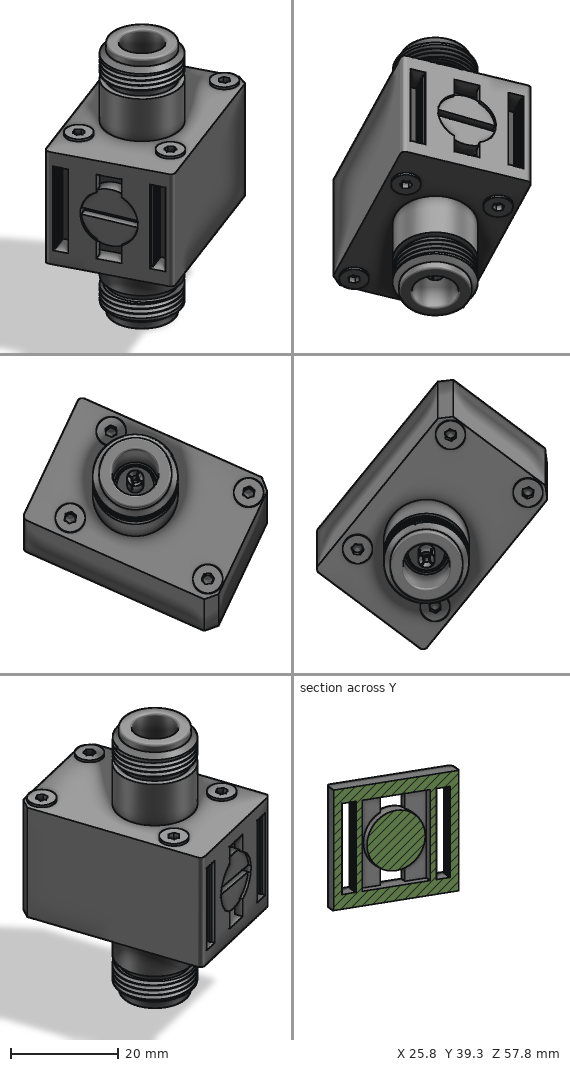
import cadquery as cq
import math


WIDTH = 25.8
LENGTH = 39.3
FRONT_Y = -17.3
HOUSING_TOP = 11.95
PLATE_THICKNESS = 3.0
BACK_CHAMFER = 2.0
FRONT_FILLET = 1.0
BODY_TOP = HOUSING_TOP - PLATE_THICKNESS

LIP_THICKNESS = 1.7
CHANNEL_WIDTH = 5.0
CHAMBER_WIDTH = 13.9
CHAMBER_DEPTH = 3.45
PLUG_HOLE_DIAMETER = 11.45
PLUG_DIAMETER = 12.0
PLUG_RECESS = 0.6
DRIVER_SLOT_WIDTH = 1.45
DRIVER_SLOT_DEPTH = 1.75
DRIVER_SLOT_TILT = 3.2

GROOVE_INNER_X = 8.15
GROOVE_OUTER_X = 11.2
GROOVE_MOUTH_DEPTH = 0.7
TOOTH_PITCH = 0.5
TOOTH_HEIGHT = TOOTH_PITCH / 2
TOOTH_COUNT = 8

SCREW_X = 9.15
SCREW_FRONT_Y = -SCREW_X
SCREW_BACK_Y = 19.0
SCREW_HEAD_DIAMETER = 5.55
SCREW_HEAD_HEIGHT = 0.5
HEX_ACROSS_FLATS = 2.0
HEX_CORNERS = HEX_ACROSS_FLATS / math.cos(math.pi / 6)
HEX_DEPTH = 1.45
HEX_CONE_DEPTH = 0.45
SCREWS = [
    (-1, SCREW_FRONT_Y, 30),
    (1, SCREW_FRONT_Y, 15),
    (-1, SCREW_BACK_Y, 15),
    (1, SCREW_BACK_Y, 0),
]

CONNECTOR_TOP = 28.9
CONE_TOP = 27.3
THREAD_TOP = 26.35
THREAD_BOTTOM = 22.5
SHOULDER_TOP = 21.0
BARREL_RADIUS = 15.9 / 2
NECK_RADIUS = 13.5 / 2
RIM_FILLET = 0.45

THREAD_PITCH = 1.05
THREAD_DEPTH = 0.7
GROOVE_WIDTH = 0.85
HELIX_START = 21.5
HELIX_TURNS = 4.4

BORE_RADIUS = 4.35
BORE_FLOOR = 19.65
GAP_RADIUS = 7.8 / 2
INSULATOR_RADIUS = 6.95 / 2
GAP_DEPTH = 1.15
CONTACT_RADIUS = 3.1 / 2
CONTACT_TOP = 24.5
FUNNEL_RADIUS = 3.0 / 2
CONTACT_HOLE_RADIUS = 0.7
CONTACT_HOLE_DEPTH = 4.05
CONTACT_SLOT_WIDTH = 0.25
CONTACT_SLOT_DEPTH = 2.9


def cylinder(radius, bottom, top):
    return cq.Workplane("XY").workplane(offset=bottom).circle(radius).extrude(top - bottom)


def front_box(width, depth):
    """Box between the end plates, going back from the front face."""
    return cq.Workplane("XY").box(width, depth, 2 * BODY_TOP).translate((0, FRONT_Y + depth / 2, 0))


def front_disc(diameter, start_depth, end_depth):
    """Disc across the Y axis between two depths behind the front face."""
    disc = cq.Workplane("XZ", origin=(0, FRONT_Y + start_depth, 0)).circle(diameter / 2)
    return disc.extrude(start_depth - end_depth)


def housing():
    block = cq.Workplane("XY").box(WIDTH, LENGTH, 2 * HOUSING_TOP)
    block = block.translate((0, FRONT_Y + LENGTH / 2, 0))
    block = block.edges("|Z and >Y").chamfer(BACK_CHAMFER)
    return block.edges("|Z and <Y").fillet(FRONT_FILLET)


def plug_cavity():
    """T-shaped channel between the end plates with a round hole through its lips."""
    lips = front_box(CHAMBER_WIDTH, LIP_THICKNESS)
    chamber = front_box(CHAMBER_WIDTH, CHAMBER_DEPTH).cut(lips)
    channel = front_box(CHANNEL_WIDTH, LIP_THICKNESS)
    return chamber.union(channel).union(front_disc(PLUG_HOLE_DIAMETER, 0, LIP_THICKNESS))


def plug():
    """Disc behind the front face, standing on the chamber wall, with a screwdriver slot."""
    disc = front_disc(PLUG_DIAMETER, PLUG_RECESS, CHAMBER_DEPTH)
    slot = cq.Workplane("XY").box(PLUG_HOLE_DIAMETER, 2 * DRIVER_SLOT_DEPTH, DRIVER_SLOT_WIDTH)
    slot = slot.rotate((0, 0, 0), (0, 1, 0), DRIVER_SLOT_TILT)
    return disc, slot.translate((0, FRONT_Y + PLUG_RECESS, 0))


def serrated_groove():
    """Groove on the +X side, whose two walls carry mirrored rows of teeth."""
    inner = [(GROOVE_INNER_X, FRONT_Y)]
    for tooth in range(TOOTH_COUNT):
        root_y = FRONT_Y + GROOVE_MOUTH_DEPTH + tooth * TOOTH_PITCH
        inner.append((GROOVE_INNER_X, root_y))
        inner.append((GROOVE_INNER_X + TOOTH_HEIGHT, root_y + TOOTH_PITCH / 2))
    inner.append((GROOVE_INNER_X, FRONT_Y + GROOVE_MOUTH_DEPTH + TOOTH_COUNT * TOOTH_PITCH))
    outer = [(GROOVE_INNER_X + GROOVE_OUTER_X - x, y) for x, y in reversed(inner)]
    outline = cq.Workplane("XY").workplane(offset=-BODY_TOP).polyline(inner + outer).close()
    return outline.extrude(2 * BODY_TOP)


def add_screws(body):
    """Low round screw heads with cone-bottomed hexagon sockets on the top plate."""
    head_top = HOUSING_TOP + SCREW_HEAD_HEIGHT
    socket_floor = head_top - HEX_DEPTH
    for side, y, turn in SCREWS:
        place = (side * SCREW_X, y, 0)
        head = cylinder(SCREW_HEAD_DIAMETER / 2, HOUSING_TOP, head_top)
        socket = cq.Workplane("XY").workplane(offset=socket_floor).polygon(6, HEX_CORNERS)
        socket = socket.extrude(HEX_DEPTH).rotate((0, 0, 0), (0, 0, 1), turn)
        cone = cq.Solid.makeCone(
            0, HEX_ACROSS_FLATS / 2, HEX_CONE_DEPTH, pnt=(0, 0, socket_floor - HEX_CONE_DEPTH)
        )
        body = body.union(head.translate(place)).cut(socket.union(cone).translate(place))
    return body


def thread_groove():
    """Right-handed V groove wound around the barrel."""
    helix = cq.Wire.makeHelix(THREAD_PITCH, HELIX_TURNS * THREAD_PITCH, BARREL_RADIUS)
    margin = 0.05
    root_x = BARREL_RADIUS - THREAD_DEPTH
    mouth_x = BARREL_RADIUS + margin
    half_mouth = GROOVE_WIDTH / 2 * (THREAD_DEPTH + margin) / THREAD_DEPTH
    corners = [(root_x, 0), (mouth_x, half_mouth), (mouth_x, -half_mouth)]
    profile = cq.Workplane("XZ").polyline(corners).close()
    return profile.sweep(cq.Workplane(helix), isFrenet=True).translate((0, 0, HELIX_START))


def connector_shell():
    """Revolved outside of the upper connector, threaded below its lead-in cone."""
    outline = [
        (0, HOUSING_TOP),
        (BARREL_RADIUS, HOUSING_TOP),
        (BARREL_RADIUS, SHOULDER_TOP),
        (NECK_RADIUS, SHOULDER_TOP),
        (NECK_RADIUS, THREAD_BOTTOM),
        (BARREL_RADIUS, THREAD_BOTTOM),
        (BARREL_RADIUS, THREAD_TOP),
        (NECK_RADIUS, CONE_TOP),
        (NECK_RADIUS, CONNECTOR_TOP),
        (0, CONNECTOR_TOP),
    ]
    shell = cq.Workplane("XZ").polyline(outline).close().revolve(360, (0, 0, 0), (0, 1, 0))
    shell = shell.cut(cylinder(BORE_RADIUS, BORE_FLOOR, CONNECTOR_TOP))
    shell = shell.faces(">Z").edges().fillet(RIM_FILLET)
    return shell.cut(thread_groove())


def insulator_gap():
    """Ring-shaped gap around the insulator in the bore floor."""
    gap = cylinder(GAP_RADIUS, BORE_FLOOR - GAP_DEPTH, BORE_FLOOR)
    return gap.cut(cylinder(INSULATOR_RADIUS, BORE_FLOOR - GAP_DEPTH, BORE_FLOOR))


def centre_contact():
    """Socket contact with a funnel mouth and crossed slots."""
    contact = cylinder(CONTACT_RADIUS, BORE_FLOOR, CONTACT_TOP)
    funnel_depth = FUNNEL_RADIUS - CONTACT_HOLE_RADIUS
    funnel = cq.Solid.makeCone(
        CONTACT_HOLE_RADIUS, FUNNEL_RADIUS, funnel_depth, pnt=(0, 0, CONTACT_TOP - funnel_depth)
    )
    contact = contact.cut(cylinder(CONTACT_HOLE_RADIUS, CONTACT_TOP - CONTACT_HOLE_DEPTH, CONTACT_TOP))
    contact = contact.cut(cq.Workplane(funnel))
    slot = cq.Workplane("XY").box(2 * CONTACT_RADIUS, CONTACT_SLOT_WIDTH, 2 * CONTACT_SLOT_DEPTH)
    slot = slot.translate((0, 0, CONTACT_TOP))
    for turn in (0, 90):
        contact = contact.cut(slot.rotate((0, 0, 0), (0, 0, 1), turn))
    return contact


groove = serrated_groove()
plug_disc, driver_slot = plug()
part = housing().cut(plug_cavity())
part = part.union(plug_disc).cut(driver_slot)
part = part.cut(groove).cut(groove.mirror("YZ"))

connector = connector_shell().cut(insulator_gap()).union(centre_contact())
for half_turn in (0, 180):
    part = part.rotate((0, 0, 0), (0, 1, 0), half_turn)
    part = add_screws(part).union(connector)
    part = part.rotate((0, 0, 0), (0, 1, 0), -half_turn)

result = part